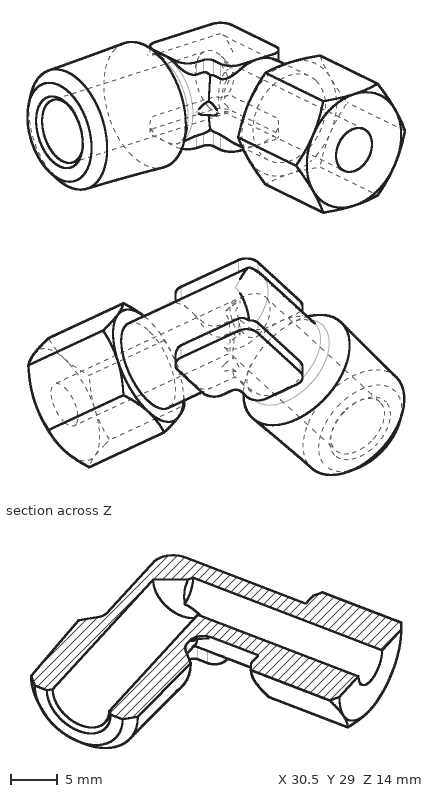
import cadquery as cq
import math

TUBE_R = 5.0
CORNER_ROUND = 2.5
CROTCH_ROUND = 1.75
WEB_HALF_THICKNESS = 0.75

NUT_START = 12.5
NUT_END = 23.53
NUT_FLATS = 13.0
NUT_CHAMFER_ANGLE = 30

THREAD_END = 21.52
THREAD_START = 9.77
THREAD_R = 7.0
THREAD_CHAMFER = 1.2
TAPER = 1 / 32
NECK_ROUND = 1.43

PAD_LEFT = -3.5
PAD_BACK = 3.78
PAD_REACH = 7.0
PAD_ROUND = 1.5
PAD_NOTCH_ROUND = 0.75

INLET_R = 3.5
INLET_CHAMFER = 0.45
OUTLET_R = 2.47
DRILL_POINT_ANGLE = 118


def along_y(profile):
    """Revolve a closed XY profile about the Y axis."""
    return profile.close().revolve(360, (0, 0, 0), (0, 1, 0))


def along_x(profile):
    """Revolve a closed XY profile about the X axis."""
    return profile.close().revolve(360, (0, 0, 0), (1, 0, 0))


def elbow():
    """Two equal tubes meeting at a rounded outer corner, with a round-edged web in the crotch."""
    x_tube = cq.Workplane("YZ").circle(TUBE_R).extrude(NUT_END)
    y_tube = cq.Workplane("XZ").circle(TUBE_R).extrude(THREAD_START)
    crossing = (
        cq.Workplane("XZ", origin=(0, TUBE_R, 0)).circle(TUBE_R).extrude(TUBE_R)
        .faces(">Y").edges().fillet(CORNER_ROUND)
        .intersect(cq.Workplane("YZ").circle(TUBE_R).extrude(TUBE_R, both=True))
    )
    bend_centre = TUBE_R + CROTCH_ROUND
    round_start = TUBE_R - WEB_HALF_THICKNESS
    web = (
        cq.Workplane("XZ")
        .moveTo(TUBE_R / 2, -WEB_HALF_THICKNESS)
        .lineTo(round_start, -WEB_HALF_THICKNESS)
        .threePointArc((TUBE_R, 0), (round_start, WEB_HALF_THICKNESS))
        .lineTo(TUBE_R / 2, WEB_HALF_THICKNESS)
        .close()
        .revolve(90, (bend_centre, 0, 0), (bend_centre, -1, 0))
        .translate((0, -bend_centre, 0))
    )
    return x_tube.union(y_tube).union(crossing).union(web)


def nut():
    """Hexagon with its corners turned to a cone at both ends."""
    length = NUT_END - NUT_START
    across_corners = NUT_FLATS / math.cos(math.radians(30))
    hexagon = cq.Workplane("YZ", origin=(NUT_START, 0, 0)).polygon(6, across_corners).extrude(length)
    face_r = NUT_FLATS / 2
    outer_r = across_corners / 2
    slope = (outer_r - face_r) * math.tan(math.radians(NUT_CHAMFER_ANGLE))
    envelope = along_x(
        cq.Workplane("XY")
        .moveTo(NUT_START, 0)
        .lineTo(NUT_START, face_r)
        .lineTo(NUT_START + slope, outer_r)
        .lineTo(NUT_END - slope, outer_r)
        .lineTo(NUT_END, face_r)
        .lineTo(NUT_END, 0)
    )
    return hexagon.intersect(envelope)


def thread_end():
    """Tapered end with a 45 degree shoulder blended into the tube."""
    diagonal = math.sqrt(0.5)
    shoulder_r = TUBE_R + NECK_ROUND * (1 - diagonal)
    shoulder_y = -THREAD_START + THREAD_R - shoulder_r
    neck_y = shoulder_y + NECK_ROUND * diagonal
    centre_r = TUBE_R + NECK_ROUND
    middle_angle = math.radians(22.5)
    arc_middle = (
        centre_r - NECK_ROUND * math.cos(middle_angle),
        neck_y - NECK_ROUND * math.sin(middle_angle),
    )
    tip_y = THREAD_END - THREAD_CHAMFER
    tip_r = THREAD_R - TAPER * (tip_y - THREAD_START)
    return along_y(
        cq.Workplane("XY")
        .moveTo(0, neck_y)
        .lineTo(TUBE_R, neck_y)
        .threePointArc(arc_middle, (shoulder_r, shoulder_y))
        .lineTo(THREAD_R, -THREAD_START)
        .lineTo(tip_r, -tip_y)
        .lineTo(tip_r - THREAD_CHAMFER, -THREAD_END)
        .lineTo(0, -THREAD_END)
    )


def pads():
    """L-shaped block flush with the top and bottom of the tubes."""
    outline = [
        (PAD_LEFT, PAD_BACK),
        (PAD_REACH, PAD_BACK),
        (PAD_REACH, -PAD_BACK),
        (-PAD_LEFT, -PAD_BACK),
        (-PAD_LEFT, -PAD_REACH),
        (PAD_LEFT, -PAD_REACH),
    ]
    block = cq.Workplane("XY").polyline(outline).close().extrude(TUBE_R, both=True)
    notch = cq.selectors.NearestToPointSelector((-PAD_LEFT, -PAD_BACK, 0))
    block = block.edges("|Z").edges(notch).fillet(PAD_NOTCH_ROUND)
    outer_corners = block.edges("|Z").filter(
        lambda edge: any(math.dist(edge.Center().toTuple()[:2], point) < 0.03 for point in outline)
    )
    return outer_corners.fillet(PAD_ROUND)


def passages():
    """Inlet from -Y and outlet to +X."""
    half_angle = math.radians(DRILL_POINT_ANGLE / 2)
    inlet = along_y(
        cq.Workplane("XY")
        .moveTo(0, INLET_R / math.tan(half_angle))
        .lineTo(INLET_R, 0)
        .lineTo(INLET_R, -THREAD_END + INLET_CHAMFER)
        .lineTo(INLET_R + INLET_CHAMFER, -THREAD_END)
        .lineTo(0, -THREAD_END)
    )
    outlet = along_x(
        cq.Workplane("XY")
        .moveTo(-OUTLET_R / math.tan(half_angle), 0)
        .lineTo(0, OUTLET_R)
        .lineTo(NUT_END, OUTLET_R)
        .lineTo(NUT_END, 0)
    )
    return inlet.union(outlet)


result = elbow().union(pads()).union(thread_end()).union(nut()).cut(passages())